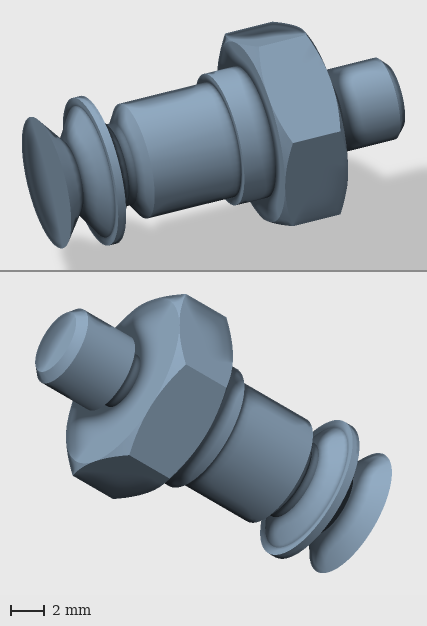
import cadquery as cq
import math

length = 22.0
lip_neck_y = 1.5
disc_start_y = 2.8
disc_end_y = 3.3
cone_end_y = 4.3
neck_end_y = 4.8
body_start_y = 5.5
collar_start_y = 11.0
hex_start_y = 13.0
hex_end_y = 17.0
stud_start_y = 18.0
stud_chamfer = 0.5

lip_diameter = 8.0
lip_neck_diameter = 4.38
bellows_cone_diameter = 8.0
disc_diameter = 9.0
neck_diameter = 5.0
body_diameter = 7.0
collar_diameter = 8.0
undercut_diameter = 3.5
stud_diameter = 5.0

across_flats = 11.0
across_corners = across_flats / math.cos(math.radians(30))
corner_chamfer_angle = 30.0


def revolve_about_y(radius_and_y):
    """Solid of revolution about Y from its outer (radius, y) outline."""
    first_y = radius_and_y[0][1]
    last_y = radius_and_y[-1][1]
    outline = [(0, first_y)] + radius_and_y + [(0, last_y)]
    return cq.Workplane("XY").polyline(outline).close().revolve(360, (0, 0), (0, 1))


def make_turned_body():
    """Bellows cup, body, collar, undercut and stud as one turned solid."""
    stud_radius = stud_diameter / 2
    return revolve_about_y([
        (lip_diameter / 2, 0),
        (lip_neck_diameter / 2, lip_neck_y),
        (bellows_cone_diameter / 2, disc_start_y),
        (disc_diameter / 2, disc_start_y),
        (disc_diameter / 2, disc_end_y),
        (bellows_cone_diameter / 2, disc_end_y),
        (neck_diameter / 2, cone_end_y),
        (neck_diameter / 2, neck_end_y),
        (body_diameter / 2, body_start_y),
        (body_diameter / 2, collar_start_y),
        (collar_diameter / 2, collar_start_y),
        (collar_diameter / 2, hex_start_y),
        (undercut_diameter / 2, hex_start_y),
        (undercut_diameter / 2, stud_start_y),
        (stud_radius, stud_start_y),
        (stud_radius, length - stud_chamfer),
        (stud_radius - stud_chamfer, length),
    ])


def make_hexagon():
    """Hexagon with corners up and down in Z, corners turned off at both ends."""
    prism = (
        cq.Workplane("XZ", origin=(0, hex_start_y, 0))
        .transformed(rotate=(0, 0, 90))
        .polygon(6, across_corners)
        .extrude(hex_start_y - hex_end_y)
    )
    face_radius = across_flats / 2
    corner_radius = across_corners / 2
    chamfer_depth = (corner_radius - face_radius) * math.tan(math.radians(corner_chamfer_angle))
    overshoot = 0.5
    envelope_radius = corner_radius + overshoot * (corner_radius - face_radius)
    envelope_depth = chamfer_depth * (1 + overshoot)
    envelope = revolve_about_y([
        (face_radius, hex_start_y),
        (envelope_radius, hex_start_y + envelope_depth),
        (envelope_radius, hex_end_y - envelope_depth),
        (face_radius, hex_end_y),
    ])
    return prism.intersect(envelope)


result = make_turned_body().union(make_hexagon())